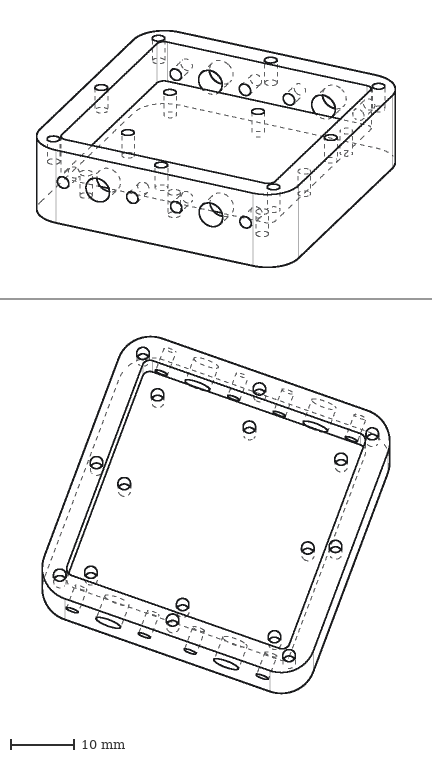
import cadquery as cq

side = 45.4
height = 13.0
outer_corner_radius = 5.4

cavity_side = 37.5
cavity_corner_radius = 1.23
floor_thickness = 6.0
wall_thickness = (side - cavity_side) / 2

screw_diameter = 2.0
screw_depth = 4.0
rim_side_offset = 20.15
rim_corner_offset = 19.35
floor_offset = 15.5

connector_offset = 9.95
connector_height = 7.5
connector_bore_diameter = 4.15
connector_screw_spacing = 6.1


def square_block(width, corner_radius, bottom, top):
    """Upright square block with rounded vertical edges, centred on Z."""
    return (
        cq.Workplane("XY", origin=(0, 0, bottom))
        .rect(width, width)
        .extrude(top - bottom)
        .edges("|Z")
        .fillet(corner_radius)
    )


def corner_points(offset):
    return [(x, y) for x in (-offset, offset) for y in (-offset, offset)]


def side_points(offset):
    return [(-offset, 0), (offset, 0), (0, -offset), (0, offset)]


def blind_screw_holes(points, top):
    """Cutters for blind vertical screw holes that open at height top."""
    return (
        cq.Workplane("XY", origin=(0, 0, top))
        .pushPoints(points)
        .circle(screw_diameter / 2)
        .extrude(-screw_depth)
    )


def wall_holes(x_places, diameter, outer_y, inner_y):
    """Cutters that run along Y through one wall and stop at its inner face."""
    points = [(x, connector_height) for x in x_places]
    return (
        cq.Workplane("XZ", origin=(0, outer_y, 0))
        .pushPoints(points)
        .circle(diameter / 2)
        .extrude(outer_y - inner_y)
    )


body = square_block(side, outer_corner_radius, 0, height)
body = body.cut(square_block(cavity_side, cavity_corner_radius, floor_thickness, height))

rim_points = corner_points(rim_corner_offset) + side_points(rim_side_offset)
floor_points = corner_points(floor_offset) + side_points(floor_offset)
body = body.cut(blind_screw_holes(rim_points, height))
body = body.cut(blind_screw_holes(floor_points, floor_thickness))

bore_places = [-connector_offset, connector_offset]
connector_screw_places = [
    bore + step
    for bore in bore_places
    for step in (-connector_screw_spacing, connector_screw_spacing)
]
for direction in (-1, 1):
    outer_face = direction * side / 2
    inner_face = direction * (side / 2 - wall_thickness)
    body = body.cut(wall_holes(bore_places, connector_bore_diameter, outer_face, inner_face))
    body = body.cut(wall_holes(connector_screw_places, screw_diameter, outer_face, inner_face))

result = body